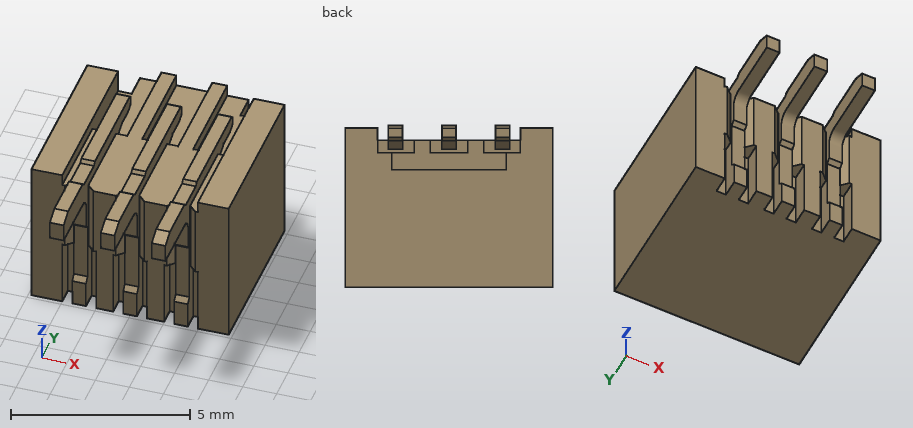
import cadquery as cq

TOTAL_LENGTH = 7.75

HOUSING_WIDTH = 5.8
HOUSING_DEPTH = 5.0
HOUSING_HEIGHT = 4.45
DECK_HEIGHT = 4.11
LEDGE_HEIGHT = 3.76
LEDGE_FRONT = 2.7

TONGUE_WIDTH = 3.19
TONGUE_BOTTOM = 3.285
TONGUE_LENGTH = 0.75
TONGUE_REAR = HOUSING_DEPTH + TONGUE_LENGTH
RIB_WIDTH = 0.44

PITCH = 1.495
TERMINAL_COUNT = 3
TERMINAL_WIDTH = 0.4
SLOT_WIDTH = 0.99
SLOT_HEIGHT = 2.0
SLOT_DEPTH = 0.5
GROOVE_MOUTH = 0.84
GROOVE_FLOOR = 0.45
GROOVE_DEPTH = (GROOVE_MOUTH - GROOVE_FLOOR) / 2
DECK_WIDTH = (TERMINAL_COUNT - 1) * PITCH + SLOT_WIDTH

ARM_TOP = 4.52
ARM_BOTTOM = 3.78
TIP_Y = TONGUE_REAR - TOTAL_LENGTH
TIP_BEVEL_LENGTH = 0.4
TIP_BEVEL_HEIGHT = 0.2
RELIEF_DEPTH = 0.09
RELIEF_FRONT = -0.24
RELIEF_REAR = 0.76
TAIL_END = 4.01
TAIL_CHAMFER = 0.08
TAIL_BOTTOM = 4.09
TAIL_BEVEL = 0.1
TAIL_BEVEL_LENGTH = 0.23
TAIL_RAMP_START = 3.225
TAIL_RAMP_BOTTOM = 3.86
LEG_FRONT = 0.02
ELBOW_RADIUS = 0.32
LEG_RECESS = 0.15
RECESS_TOP = 2.79
FOOT_HEIGHT = 0.79


def box(x_center, width, y_min, y_max, z_min, z_max):
    """Box centred on x_center with the given y and z limits."""
    return (
        cq.Workplane("XY")
        .box(width, y_max - y_min, z_max - z_min, centered=(True, False, False))
        .translate((x_center, y_min, z_min))
    )


def centered_positions(count):
    """X positions of count items at the terminal pitch, symmetric about x = 0."""
    return [(i - (count - 1) / 2) * PITCH for i in range(count)]


def make_housing():
    """Block with a lowered deck, a rear ledge and a tongue carrying the ribs."""
    body = box(0, HOUSING_WIDTH, 0, HOUSING_DEPTH, 0, HOUSING_HEIGHT)
    body = body.cut(box(0, DECK_WIDTH, 0, HOUSING_DEPTH, DECK_HEIGHT, HOUSING_HEIGHT))
    body = body.cut(box(0, DECK_WIDTH, LEDGE_FRONT, HOUSING_DEPTH, LEDGE_HEIGHT, DECK_HEIGHT))
    body = body.union(box(0, TONGUE_WIDTH, LEDGE_FRONT, TONGUE_REAR, TONGUE_BOTTOM, LEDGE_HEIGHT))
    for x in centered_positions(TERMINAL_COUNT - 1):
        body = body.union(box(x, RIB_WIDTH, LEDGE_FRONT, TONGUE_REAR, TONGUE_BOTTOM, DECK_HEIGHT))
    return body


def make_terminal_recess(x):
    """Wide lower slot with a tapered groove running from it up through the deck."""
    slot = box(x, SLOT_WIDTH, 0, SLOT_DEPTH, 0, SLOT_HEIGHT)
    groove = (
        cq.Workplane("XY", origin=(x, 0, SLOT_HEIGHT))
        .moveTo(-GROOVE_MOUTH / 2, 0)
        .lineTo(GROOVE_MOUTH / 2, 0)
        .lineTo(GROOVE_FLOOR / 2, GROOVE_DEPTH)
        .lineTo(-GROOVE_FLOOR / 2, GROOVE_DEPTH)
        .close()
        .extrude(DECK_HEIGHT - SLOT_HEIGHT)
    )
    return slot.union(groove)


def make_terminal(x):
    """Flat L-shaped contact: its side profile extruded across its width."""
    relief_z = ARM_TOP - RELIEF_DEPTH
    recess_slope = LEG_RECESS - LEG_FRONT
    return (
        cq.Workplane("YZ", origin=(x - TERMINAL_WIDTH / 2, 0, 0))
        .moveTo(SLOT_DEPTH, 0)
        .lineTo(0, 0)
        .lineTo(0, FOOT_HEIGHT)
        .lineTo(LEG_RECESS, FOOT_HEIGHT + LEG_RECESS)
        .lineTo(LEG_RECESS, RECESS_TOP - recess_slope)
        .lineTo(LEG_FRONT, RECESS_TOP)
        .lineTo(LEG_FRONT, ARM_BOTTOM - ELBOW_RADIUS)
        .radiusArc((LEG_FRONT - ELBOW_RADIUS, ARM_BOTTOM), -ELBOW_RADIUS)
        .lineTo(TIP_Y, ARM_BOTTOM)
        .lineTo(TIP_Y, ARM_TOP - TIP_BEVEL_HEIGHT)
        .lineTo(TIP_Y + TIP_BEVEL_LENGTH, ARM_TOP)
        .lineTo(RELIEF_FRONT - RELIEF_DEPTH / 2, ARM_TOP)
        .lineTo(RELIEF_FRONT + RELIEF_DEPTH / 2, relief_z)
        .lineTo(RELIEF_REAR - RELIEF_DEPTH / 2, relief_z)
        .lineTo(RELIEF_REAR + RELIEF_DEPTH / 2, ARM_TOP)
        .lineTo(TAIL_END - TAIL_CHAMFER, ARM_TOP)
        .lineTo(TAIL_END, ARM_TOP - TAIL_CHAMFER)
        .lineTo(TAIL_END, TAIL_BOTTOM + TAIL_BEVEL)
        .lineTo(TAIL_END - TAIL_BEVEL_LENGTH, TAIL_BOTTOM)
        .lineTo(TAIL_RAMP_START, TAIL_BOTTOM)
        .lineTo(LEDGE_FRONT, TAIL_RAMP_BOTTOM)
        .lineTo(SLOT_DEPTH, TAIL_RAMP_BOTTOM)
        .close()
        .extrude(TERMINAL_WIDTH)
    )


result = make_housing()
for terminal_x in centered_positions(TERMINAL_COUNT):
    result = result.cut(make_terminal_recess(terminal_x))
    result = result.union(make_terminal(terminal_x))